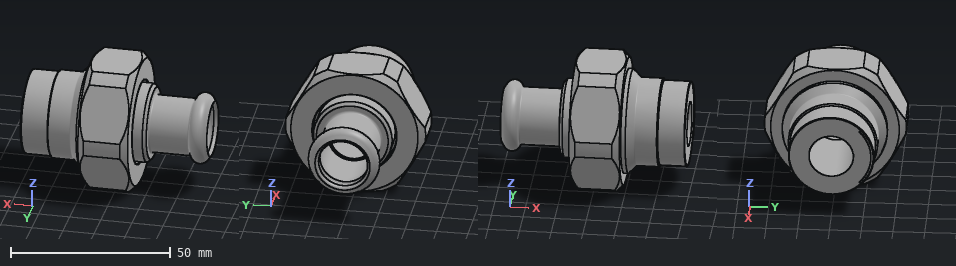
import cadquery as cq
import math


total_length = 59.0
through_bore_dia = 14.0

nut_start = 22.95
nut_end = 38.95
nut_across_flats = 41.0
nut_corner_dia = 44.65
nut_face_dia = 40.55
nut_chamfer_length = 2.1
nut_mouth_dia = 27.1
nut_hole_dia = 26.7
nut_mouth_chamfer = (nut_mouth_dia - nut_hole_dia) / 2
nut_bore_dia = 30.25
nut_lip_thickness = 2.95

tube_dia = 18.3
tube_start = 6.45
tube_end = 18.2
bead_crest_dia = 22.65
bead_crest_x = 3.1
bead_front_x = 0.75
bead_front_dia = 19.75
bead_back_x = 5.7
bead_back_dia = 19.1
mouth_face_dia = 17.5
socket_mouth_dia = 15.7
socket_dia = 15.3
stop_chamfer_dia = 14.4
stop_chamfer = (stop_chamfer_dia - through_bore_dia) / 2
taper_end = 6.55
socket_depth = 18.9
collar_start = 18.9
collar_dia = 25.0
collar_chamfer_dia = 22.9
collar_chamfer = (collar_dia - collar_chamfer_dia) / 2
collar_root_fillet = collar_start - tube_end
flange_dia = 29.5
flange_start = nut_start + nut_lip_thickness
flange_end = 33.05

groove_start = 1.35
groove_crest_x = 2.85
groove_crest_dia = 17.7
groove_wall_x = 3.85
groove_wall_dia = 16.5
groove_end = 4.15

shoulder_dia = 33.1
shoulder_end = 40.35
body_dia = 28.0
cone_fillet_length = 0.25
body_end = 50.0
weld_dia = 26.9
weld_start = 50.3
weld_face_dia = 26.5
weld_chamfer = (weld_dia - weld_face_dia) / 2
rim_height = 0.2
rim_inner_dia = 25.0
rim_angle = 90.0


def turned(profile):
    """Revolve a closed (x, radius) profile around the X axis."""
    return profile.close().revolve(360, (0, 0, 0), (1, 0, 0))


def fillet_midpoint(corner_x, corner_radius, size):
    """Middle of a concave quarter arc rising from a tube into a face at corner_x."""
    reach = size * (1 - math.sqrt(0.5))
    return (corner_x - reach, corner_radius + reach)


def make_tailpiece():
    tube_radius = tube_dia / 2
    socket_mouth_radius = socket_mouth_dia / 2
    lip_radius = (mouth_face_dia - socket_mouth_dia) / 2
    lip_inset = lip_radius * (1 - math.sqrt(0.5))
    neck_mid = (
        bead_back_x + 0.3 * (tube_start - bead_back_x),
        tube_radius + 0.3 * (bead_back_dia - tube_dia) / 2,
    )
    profile = (
        cq.Workplane("XY")
        .moveTo(0, mouth_face_dia / 2)
        .lineTo(bead_front_x, bead_front_dia / 2)
        .threePointArc((bead_crest_x, bead_crest_dia / 2), (bead_back_x, bead_back_dia / 2))
        .threePointArc(neck_mid, (tube_start, tube_radius))
        .lineTo(tube_end, tube_radius)
        .threePointArc(
            fillet_midpoint(collar_start, tube_radius, collar_root_fillet),
            (collar_start, tube_radius + collar_root_fillet),
        )
        .lineTo(collar_start, collar_chamfer_dia / 2)
        .lineTo(collar_start + collar_chamfer, collar_dia / 2)
        .lineTo(flange_start, collar_dia / 2)
        .lineTo(flange_start, flange_dia / 2)
        .lineTo(flange_end, flange_dia / 2)
        .lineTo(flange_end, through_bore_dia / 2)
        .lineTo(socket_depth + stop_chamfer, through_bore_dia / 2)
        .lineTo(socket_depth, stop_chamfer_dia / 2)
        .lineTo(socket_depth, socket_dia / 2)
        .lineTo(taper_end, socket_dia / 2)
        .lineTo(groove_end, socket_mouth_radius)
        .lineTo(groove_wall_x, groove_wall_dia / 2)
        .threePointArc((groove_crest_x, groove_crest_dia / 2), (groove_start, socket_mouth_radius))
        .lineTo(lip_radius, socket_mouth_radius)
        .threePointArc((lip_inset, socket_mouth_radius + lip_inset), (0, mouth_face_dia / 2))
    )
    return turned(profile)


def make_nut():
    nut_length = nut_end - nut_start
    hexagon = (
        cq.Workplane("YZ", origin=(nut_start, 0, 0))
        .polygon(6, nut_across_flats / math.cos(math.pi / 6))
        .extrude(nut_length)
    )
    envelope = turned(
        cq.Workplane("XY")
        .moveTo(nut_start, 0)
        .lineTo(nut_start, nut_face_dia / 2)
        .lineTo(nut_start + nut_chamfer_length, nut_corner_dia / 2)
        .lineTo(nut_end - nut_chamfer_length, nut_corner_dia / 2)
        .lineTo(nut_end, nut_face_dia / 2)
        .lineTo(nut_end, 0)
    )
    opening = turned(
        cq.Workplane("XY")
        .moveTo(nut_start, 0)
        .lineTo(nut_start, nut_mouth_dia / 2)
        .lineTo(nut_start + nut_mouth_chamfer, nut_hole_dia / 2)
        .lineTo(flange_start, nut_hole_dia / 2)
        .lineTo(flange_start, nut_bore_dia / 2)
        .lineTo(nut_end, nut_bore_dia / 2)
        .lineTo(nut_end, 0)
    )
    return hexagon.intersect(envelope).cut(opening)


def make_raised_rim(face_x):
    """Shallow ring segment on the end face, centred on +Y."""
    half_angle = math.radians(rim_angle / 2)

    def rim_point(diameter, angle):
        return (diameter / 2 * math.cos(angle), diameter / 2 * math.sin(angle))

    return (
        cq.Workplane("YZ", origin=(face_x, 0, 0))
        .moveTo(*rim_point(weld_face_dia, -half_angle))
        .threePointArc(rim_point(weld_face_dia, 0), rim_point(weld_face_dia, half_angle))
        .lineTo(*rim_point(rim_inner_dia, half_angle))
        .threePointArc(rim_point(rim_inner_dia, 0), rim_point(rim_inner_dia, -half_angle))
        .close()
        .extrude(rim_height)
    )


def make_welding_end():
    face_x = total_length - rim_height
    cone_end = shoulder_end + (shoulder_dia - body_dia) / 2
    blend_end = cone_end + cone_fillet_length
    blend_inset = cone_fillet_length * math.sqrt(0.5)
    half_bend = math.radians(45 / 2)
    blend_radius = cone_fillet_length / math.tan(half_bend)
    blend_mid = (
        blend_end - blend_radius * math.sin(half_bend),
        body_dia / 2 + blend_radius * (1 - math.cos(half_bend)),
    )
    body = turned(
        cq.Workplane("XY")
        .moveTo(flange_end, through_bore_dia / 2)
        .lineTo(flange_end, nut_bore_dia / 2)
        .lineTo(nut_end, nut_bore_dia / 2)
        .lineTo(nut_end, shoulder_dia / 2)
        .lineTo(shoulder_end, shoulder_dia / 2)
        .lineTo(cone_end - blend_inset, body_dia / 2 + blend_inset)
        .threePointArc(blend_mid, (blend_end, body_dia / 2))
        .lineTo(body_end, body_dia / 2)
        .lineTo(weld_start, weld_dia / 2)
        .lineTo(face_x - weld_chamfer, weld_dia / 2)
        .lineTo(face_x, weld_face_dia / 2)
        .lineTo(face_x, through_bore_dia / 2)
    )
    return body.union(make_raised_rim(face_x))


tailpiece = make_tailpiece()
nut = make_nut()
welding_end = make_welding_end()

result = cq.Compound.makeCompound([tailpiece.val(), nut.val(), welding_end.val()])